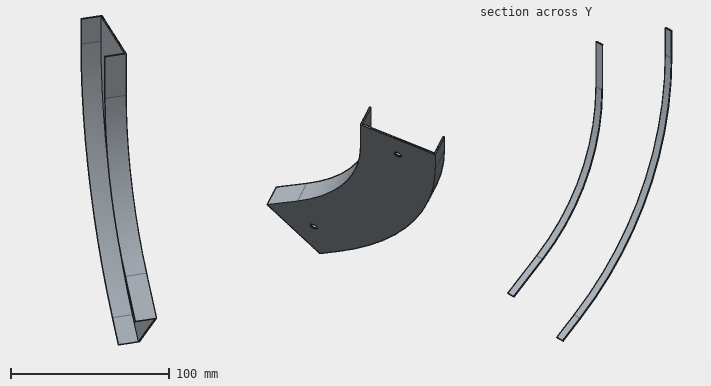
import cadquery as cq
import math

channel_width = 52.0
channel_depth = 14.0
wall_thickness = 1.0

bend_angle = 45.0
outer_radius = 230.0
inner_radius = 149.0
inner_leg = 30.0

hole_diameter = 5.0
hole_end_distance = 20.0

half_bend_tangent = math.tan(math.radians(bend_angle / 2))
leg_x = math.sin(math.radians(bend_angle))
leg_z = -math.cos(math.radians(bend_angle))

outer_corner_distance = inner_leg + (inner_radius + channel_width) * half_bend_tangent


def side_path(inset, radius):
    """Points of one side, inset from the outer side: straight leg, arc, straight leg.

    Returns the leg start, arc start, arc middle, arc end and leg end, from the top end
    face (z = 0) to the slanted end face.
    """
    corner_z = -(outer_corner_distance - inset * half_bend_tangent)
    arc_start_z = corner_z + radius * half_bend_tangent
    leg_length = -arc_start_z

    def arc_point(angle):
        turn = math.radians(angle)
        return (
            inset + radius * (1 - math.cos(turn)),
            arc_start_z - radius * math.sin(turn),
        )

    arc_end = arc_point(bend_angle)
    leg_end = (arc_end[0] + leg_length * leg_x, arc_end[1] + leg_length * leg_z)
    return (inset, 0), (inset, arc_start_z), arc_point(bend_angle / 2), arc_end, leg_end


def bent_strip(offset, depth):
    """Solid between the two sides, each moved inward by offset, from y = 0 toward -Y."""
    outer = side_path(offset, outer_radius - offset)
    inner = side_path(channel_width - offset, inner_radius + offset)
    return (
        cq.Workplane("XZ")
        .moveTo(*outer[0])
        .lineTo(*outer[1])
        .threePointArc(outer[2], outer[3])
        .lineTo(*outer[4])
        .lineTo(*inner[4])
        .lineTo(*inner[3])
        .threePointArc(inner[2], inner[1])
        .lineTo(*inner[0])
        .close()
        .extrude(depth)
    )


def channel():
    """U-shaped bend with its base on the +Y side and both ends open."""
    cavity = bent_strip(wall_thickness, channel_depth).translate((0, -wall_thickness, 0))
    return bent_strip(0, channel_depth).cut(cavity)


def mounting_holes():
    """One through hole on the middle of the channel near each end face."""
    half_width = channel_width / 2
    middle_corner_distance = outer_corner_distance - half_width * half_bend_tangent
    corner_to_hole = middle_corner_distance - hole_end_distance
    top_hole = (half_width, -hole_end_distance)
    bottom_hole = (
        half_width + corner_to_hole * leg_x,
        -middle_corner_distance + corner_to_hole * leg_z,
    )
    return (
        cq.Workplane("XZ")
        .pushPoints([top_hole, bottom_hole])
        .circle(hole_diameter / 2)
        .extrude(channel_depth)
    )


result = channel().cut(mounting_holes())